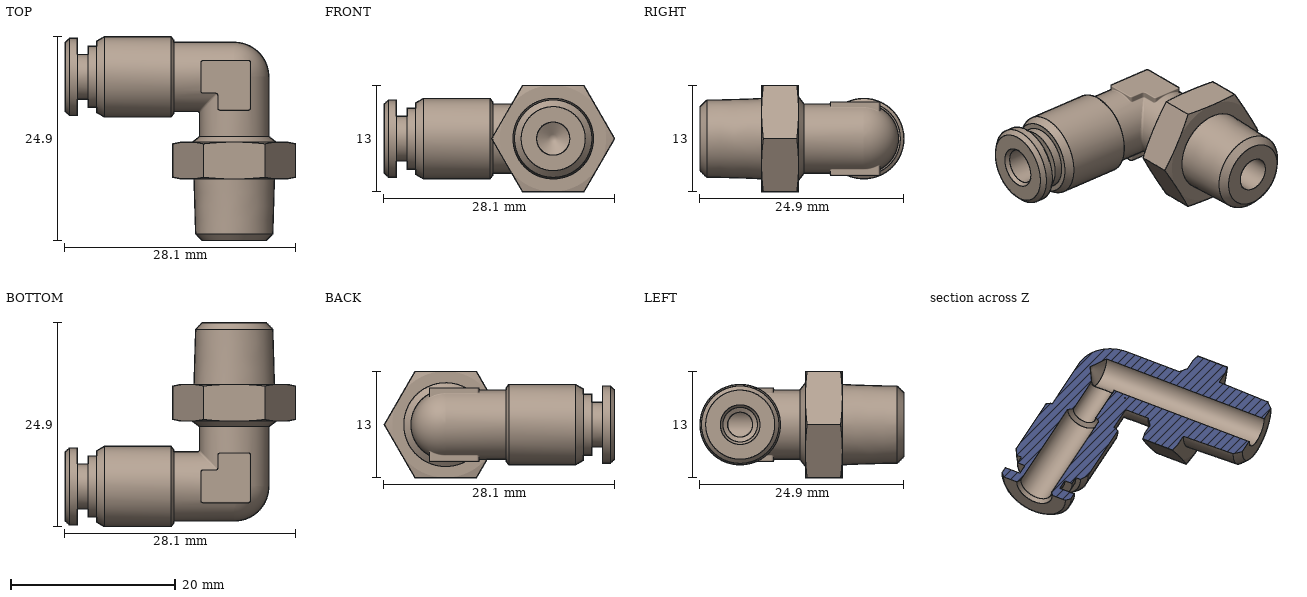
import cadquery as cq
import math


body_radius = 4.25
valley_radius = 0.22

sleeve_radius = 4.92
sleeve_front_radius = 4.35
sleeve_rear_radius = 4.47
sleeve_rear = 7.36
sleeve_rear_chamfer = 0.35
sleeve_front = 16.78
sleeve_front_chamfer = 0.95
ring_radius = 3.75
ring_front = 17.82
neck_radius = 2.75
collar_radius = 4.72
collar_face_radius = 4.22
collar_rear = 19.11
collar_chamfer = 0.53

hex_across_flats = 13.0
hex_corner_radius = hex_across_flats / math.sqrt(3)
hex_start = 7.95
hex_end = 12.45
hex_corner_drop = 0.21
shoulder_start = 7.28
shoulder_radius = 5.12

thread_base_radius = 4.92
thread_tip_radius = 4.72
thread_chamfer = 0.85
thread_face_radius = 3.9

overall_x = 28.1
overall_y = 24.9
collar_front = overall_x - hex_corner_radius
thread_end = overall_y - sleeve_radius

tube_bore_radius = 2.1
tube_bore_mouth_radius = 2.42
tube_bore_mouth_depth = 0.5
tube_bore_end = sleeve_rear
passage_radius = 1.52
thread_bore_radius = 2.02
drill_half_angle = math.radians(59)

pad_half_width = 2.0
pad_leg = 4.08
pad_height = 4.5
pad_corner_radius = 0.28
pad_rim_radius = 0.1
pad_root_radius = 0.1


def turned_along_x(profile):
    """Revolve (distance along -X, radius) points about the tube axis."""
    points = [(-distance, radius) for distance, radius in profile]
    return cq.Workplane("XY").polyline(points).close().revolve(360, (0, 0, 0), (1, 0, 0))


def turned_along_y(profile):
    """Revolve (distance along -Y, radius) points about the thread axis."""
    points = [(radius, -distance) for distance, radius in profile]
    return cq.Workplane("XY").polyline(points).close().revolve(360, (0, 0, 0), (0, 1, 0))


def elbow_body():
    """Two round legs meeting in a ball, with the valley inside the bend rounded."""
    tube_leg = cq.Workplane("YZ").circle(body_radius).extrude(-sleeve_rear)
    thread_leg = cq.Workplane("XZ").circle(body_radius).extrude(hex_start)
    outer_bend = cq.Workplane("XY").sphere(body_radius)
    body = tube_leg.union(thread_leg).union(outer_bend)
    return body.edges("%ELLIPSE").fillet(valley_radius)


def socket():
    return turned_along_x([
        (sleeve_rear, 0),
        (sleeve_rear, sleeve_rear_radius),
        (sleeve_rear + sleeve_rear_chamfer, sleeve_radius),
        (sleeve_front - sleeve_front_chamfer, sleeve_radius),
        (sleeve_front, sleeve_front_radius),
        (sleeve_front, ring_radius),
        (ring_front, ring_radius),
        (ring_front, neck_radius),
        (collar_rear, neck_radius),
        (collar_rear, collar_radius),
        (collar_front - collar_chamfer, collar_radius),
        (collar_front, collar_face_radius),
        (collar_front, 0),
    ])


def hexagon():
    """Hexagon with its corners turned down to the inscribed circle on both faces."""
    prism = (
        cq.Workplane("XZ", origin=(0, -hex_start, 0))
        .polygon(6, 2 * hex_corner_radius)
        .extrude(hex_end - hex_start)
    )
    corner_turning = turned_along_y([
        (hex_start, 0),
        (hex_start, hex_across_flats / 2),
        (hex_start + hex_corner_drop, hex_corner_radius),
        (hex_end - hex_corner_drop, hex_corner_radius),
        (hex_end, hex_across_flats / 2),
        (hex_end, 0),
    ])
    return prism.intersect(corner_turning)


def shoulder_and_thread():
    shoulder = turned_along_y([
        (shoulder_start, 0),
        (shoulder_start, body_radius),
        (hex_start, shoulder_radius),
        (hex_start, 0),
    ])
    thread = turned_along_y([
        (hex_end, 0),
        (hex_end, thread_base_radius),
        (thread_end - thread_chamfer, thread_tip_radius),
        (thread_end, thread_face_radius),
        (thread_end, 0),
    ])
    return shoulder.union(thread)


def label_pads():
    outline = [
        (pad_half_width, pad_half_width),
        (-pad_leg, pad_half_width),
        (-pad_leg, -pad_half_width),
        (-pad_half_width, -pad_half_width),
        (-pad_half_width, -pad_leg),
        (pad_half_width, -pad_leg),
    ]
    block = cq.Workplane("XY").polyline(outline).close().extrude(pad_height, both=True)
    return block.edges("|Z").fillet(pad_corner_radius).faces("|Z").edges().fillet(pad_rim_radius)


def elbow_with_pads():
    """Join body and pads, then round the roots of both pads."""
    joined = elbow_body().union(label_pads())
    lowest_root = math.sqrt(body_radius**2 - 2 * pad_half_width**2)
    root_edges = [
        edge
        for edge in joined.edges("not |Z").vals()
        if lowest_root < abs(edge.Center().z) < body_radius
    ]
    return joined.newObject(root_edges).fillet(pad_root_radius)


def tube_bore():
    """Hole for the tube with a conical bottom leading into the narrower passage."""
    bottom_length = (tube_bore_radius - passage_radius) / math.tan(drill_half_angle)
    return turned_along_x([
        (0, 0),
        (0, passage_radius),
        (tube_bore_end - bottom_length, passage_radius),
        (tube_bore_end, tube_bore_radius),
        (collar_front - tube_bore_mouth_depth, tube_bore_radius),
        (collar_front, tube_bore_mouth_radius),
        (collar_front, 0),
    ])


def thread_bore():
    """Drilled hole whose conical point ends just beyond the passage from the tube side."""
    point_length = thread_bore_radius / math.tan(drill_half_angle)
    return turned_along_y([
        (-passage_radius - point_length, 0),
        (-passage_radius, thread_bore_radius),
        (thread_end, thread_bore_radius),
        (thread_end, 0),
    ])


result = (
    elbow_with_pads()
    .union(socket())
    .union(shoulder_and_thread())
    .union(hexagon())
    .cut(tube_bore())
    .cut(thread_bore())
)